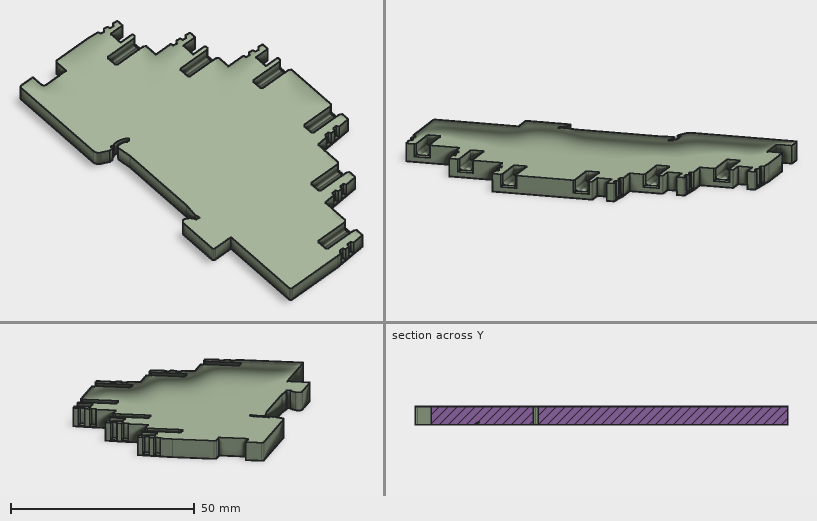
import cadquery as cq
import math

length = 101.9
height = 59.2
thickness = 5.1

tiers = range(3)
top_tier = tiers[-1]
tier_run = 16.3
tier_rise = 12.0
draft = math.tan(math.radians(5))
lean_height = 9.8
lowest_tier_y = height - top_tier * tier_rise
lean_offset = lean_height * draft

tab_width = 2.1
notch_width = 4.1
notch_depth = 4.4

groove_pitch = 3.2
groove_height = 1.8
groove_depth = 0.8
groove_lead = 0.4
groove_tail = 0.2
groove_count = 2
left_groove_drop = 1.5
right_groove_drop = 3.6
groove_floor_z = 0.8
groove_mouth_z = 0.4
groove_overshoot = 0.2

slot_width = 3.8
slot_length = 10.6
slot_depth = 3.2
slot_floor_radius = 0.9
slot_end_radius = 0.5
slot_flare = 0.4
slot_flare_length = 0.6
left_slot_inset = 9.5
right_slot_inset = 4.7

cutout_depth = 4.4
cutout_bottom = 4.9
cutout_top = 13.1
right_base_y = 7.9

recess_end_y = 6.1
recess_mid_y = 6.3
ceiling_low_y = 5.8
ceiling_left_x = 33.9
ceiling_flat_left_x = 38.0
ceiling_flat_right_x = 61.1
ceiling_right_x = 65.3
slit_left_x = 32.1
slit_right_x = 33.3
foot_tip_x = 33.0
foot_ledge_y = 4.6
foot_corner = (31.3, 0)
hook_bottom_y = 1.5
hook_right_x = 77.5

small_radius = 0.2
corner_radius = 0.6
cutout_radius = 1.0
foot_radius = 2.0


def tier_top(tier):
    """Y of a tier's top edge."""
    return lowest_tier_y + tier * tier_rise


def left_end(tier):
    """X of a tier's top left corner."""
    return lean_offset + tier * tier_run


def right_end(tier):
    """X of a tier's top right corner."""
    return length - left_end(tier)


def left_notch(tier):
    """Left and right X of the notch beside a tier's label tab."""
    start = left_end(tier) + tab_width
    return start, start + notch_width


def left_profile():
    """Stepped left side, from the lowest tier up to the top edge."""
    points = [(0, lowest_tier_y - lean_height)]
    for tier in tiers:
        top = tier_top(tier)
        notch_start, notch_end = left_notch(tier)
        if tier > 0:
            lean = left_groove_drop + groove_pitch + groove_height
            foot_x = left_end(tier) - lean * draft
            points += [(foot_x, tier_top(tier - 1)), (foot_x, top - lean)]
        points += [
            (left_end(tier), top),
            (notch_start, top),
            (notch_start, top - notch_depth),
            (notch_end, top - notch_depth),
            (notch_end, top),
        ]
    return points


def right_profile():
    """Stepped right side, from the top edge down to the lowest tier."""
    points = []
    for tier in reversed(tiers):
        points.append((right_end(tier), tier_top(tier)))
        if tier > 0:
            points.append((right_end(tier) + tier_rise * draft, tier_top(tier - 1)))
    points.append((length, lowest_tier_y - lean_height))
    return points


def make_plate():
    """Full-thickness housing outline with its rounded corners."""
    outline = cq.Workplane("XY").polyline(left_profile() + right_profile())
    outline = (
        outline
        .lineTo(length, right_base_y)
        .lineTo(hook_right_x, right_base_y)
        .lineTo(hook_right_x, hook_bottom_y)
        .lineTo(65.4, hook_bottom_y)
        .threePointArc((64.4, 2.2), (64.7, 3.3))
        .threePointArc((65.5, 4.3), (66.6, 5.0))
        .lineTo(66.7, recess_end_y)
        .lineTo(ceiling_right_x, ceiling_low_y)
        .lineTo(ceiling_flat_right_x, recess_mid_y)
        .lineTo(ceiling_flat_left_x, recess_mid_y)
        .lineTo(ceiling_left_x, ceiling_low_y)
        .lineTo(slit_right_x, recess_end_y)
        .lineTo(slit_right_x, 7.7)
        .lineTo(33.9, 9.1)
        .lineTo(33.9, 9.8)
        .threePointArc((33.4, 10.1), (32.9, 9.7))
        .threePointArc((32.4, 8.6), (slit_left_x, 7.3))
        .lineTo(slit_left_x, 6.0)
        .lineTo(32.4, 5.5)
        .lineTo(slit_left_x, foot_ledge_y)
        .lineTo(foot_tip_x, foot_ledge_y)
        .lineTo(foot_tip_x, 3.5)
        .lineTo(*foot_corner)
        .lineTo(0, 0)
        .lineTo(0, cutout_bottom)
        .lineTo(cutout_depth, cutout_bottom)
        .lineTo(cutout_depth, cutout_top)
        .lineTo(0, cutout_top)
        .close()
    )
    plate = outline.extrude(thickness)
    rounded_corners = [
        (foot_corner, foot_radius),
        ((cutout_depth, cutout_bottom), cutout_radius),
        ((0, cutout_top), corner_radius),
        ((0, 0), corner_radius),
        ((length, right_base_y), corner_radius),
        ((hook_right_x, hook_bottom_y), corner_radius),
    ]
    for tier in tiers:
        rounded_corners.append(((left_end(tier), tier_top(tier)), small_radius))
        rounded_corners.append(((left_notch(tier)[1], tier_top(tier)), small_radius))
    for (x, y), radius in rounded_corners:
        corner = cq.NearestToPointSelector((x, y, thickness / 2))
        plate = plate.edges("|Z").edges(corner).fillet(radius)
    return plate


def make_groove(edge_x, top_y, inward):
    """Cutter for one grip groove; inward is +1 on a left end face and -1 on a right one."""
    outward_slope = -inward * draft
    overshoot = -inward * groove_overshoot

    def point(depth, drop):
        return edge_x + outward_slope * drop + inward * depth, top_y - drop

    upper_mouth = point(0, 0)
    lower_mouth = point(0, groove_height)
    section = (
        cq.Workplane("XY")
        .polyline([
            (upper_mouth[0] + overshoot, upper_mouth[1]),
            upper_mouth,
            point(groove_depth, groove_lead),
            point(groove_depth, groove_height - groove_tail),
            lower_mouth,
            (lower_mouth[0] + overshoot, lower_mouth[1]),
        ])
        .close()
        .extrude(thickness)
    )
    inner_x = edge_x + inward * groove_depth
    fall = (groove_floor_z - groove_mouth_z) / groove_depth
    reach = 2 * groove_depth
    above_floor = (
        cq.Workplane("XZ", origin=(0, top_y, 0))
        .polyline([
            (inner_x + inward * reach, groove_floor_z + fall * reach),
            (inner_x - inward * reach, groove_floor_z - fall * reach),
            (inner_x - inward * reach, thickness),
            (inner_x + inward * reach, thickness),
        ])
        .close()
        .extrude(groove_height)
    )
    return section.intersect(above_floor)


def make_slot(center_x, top_y):
    """Cutter for one screwdriver slot with a rounded floor and a flared open end."""
    block = (
        cq.Workplane("XY", origin=(center_x, top_y - slot_length / 2, thickness - slot_depth))
        .rect(slot_width, slot_length)
        .extrude(slot_depth)
    )
    rounded_end = block.edges("|Z and <Y").fillet(slot_end_radius)
    trough = block.edges("|Y and <Z").fillet(slot_floor_radius)
    flare = (
        cq.Workplane("XZ", origin=(center_x, top_y, thickness))
        .rect(slot_width + 2 * slot_flare, 2 * (slot_depth + slot_flare))
        .workplane(offset=slot_flare_length)
        .rect(slot_width, 2 * slot_depth)
        .loft(ruled=True)
    )
    return rounded_end.intersect(trough).union(flare)


result = make_plate()
for tier in tiers:
    top = tier_top(tier)
    for index in range(groove_count):
        left_drop = left_groove_drop + index * groove_pitch
        right_drop = right_groove_drop + index * groove_pitch
        result = result.cut(make_groove(left_end(tier) - left_drop * draft, top - left_drop, 1))
        result = result.cut(make_groove(right_end(tier) + right_drop * draft, top - right_drop, -1))
    result = result.cut(make_slot(left_end(tier) + left_slot_inset, top))
    result = result.cut(make_slot(right_end(tier) - right_slot_inset, top))